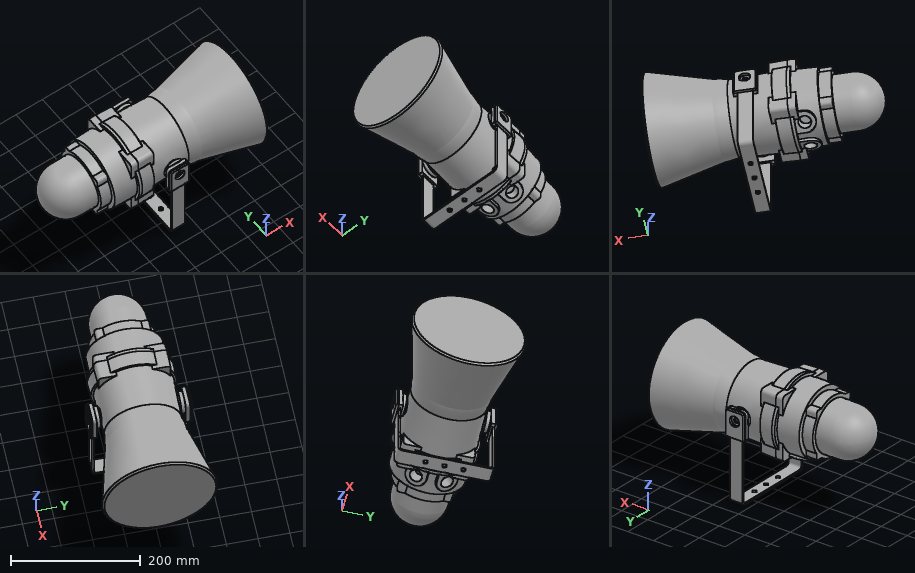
import cadquery as cq
import math


DRAFT = math.tan(math.radians(2))

BASE_X = 75.0
REAR_X = 95.0
REAR_LUG_X = 129.5
REAR_BAND_X = 137.0
SPLIT_X = 142.5
FRONT_BAND_X = 166.0
FRONT_LUG_X = 172.5
PIVOT_X = 205.5
HORN_X = 236.0
FLARE_X = 259.5
END_X = 366.0

DOME_R = 46.0
BASE_R = 52.7
EAR_HALF = 43.2
EAR_FILLET = 5.5

CASE_END_R = 61.0
BAND_R = 68.5
LUG_HALF = 58.0
LUG_FILLET = 7.5

ENTRY_X = 121.5
ENTRY_ANGLE = 22.5
ENTRY_REACH = 64.8
ENTRY_DEPTH = 22.0
ENTRY_D = 35.0
ENTRY_HOLE_D = 20.0

COLLAR_MID_X = 246.5
COLLAR_MID_R = 63.7
FLARE_R = 64.8
MOUTH_R = 90.8
MOUTH_CHAMFER = 3.0

BOSS_NECK_D = 29.0
BOSS_D = 35.0
BOSS_NECK_Y = 63.5
BLOCK_Y = 70.0
BOSS_START_Y = 36.5

CAP_Y = 76.5
PAD_FACE_Y = 81.0
PAD_WIDTH = 37.5
PAD_TOP_Z = 18.5
PAD_BOTTOM_Z = -29.5
PAD_FILLET = 6.5
CAP_CHAMFER = 2.2
CAP_HOLE_D = 18.0

STRAP_WIDTH = 24.0
STRAP_THICKNESS = 3.3
STRAP_BEND_R = 8.5
STRAP_TOP_Z = 12.8
STRAP_BOTTOM_Z = -145.0
PIVOT_HOLE_D = 8.5
MOUNT_HOLE_D = 7.0
MOUNT_PITCH = 30.0

SIDES = (-1, 1)


def turned(profile):
    """Revolve a closed profile in the XY plane about the X axis."""
    return profile.close().revolve(360, (0, 0, 0), (1, 0, 0))


def cone(x0, r0, x1, r1):
    return turned(cq.Workplane("XY").moveTo(x0, 0).lineTo(x0, r0).lineTo(x1, r1).lineTo(x1, 0))


def cylinder_x(x0, x1, radius):
    return cone(x0, radius, x1, radius)


def cylinder_y(y0, y1, diameter):
    """Cylinder on the pivot axis, between two Y positions."""
    plane = cq.Plane(origin=(PIVOT_X, y0, 0), xDir=(1, 0, 0), normal=(0, 1, 0))
    return cq.Workplane(plane).circle(diameter / 2).extrude(y1 - y0)


def make_dome():
    diagonal = DOME_R * math.sqrt(0.5)
    profile = (
        cq.Workplane("XY")
        .moveTo(0, 0)
        .threePointArc((DOME_R - diagonal, diagonal), (DOME_R, DOME_R))
        .lineTo(BASE_X, DOME_R)
        .lineTo(BASE_X, 0)
    )
    return turned(profile)


def beacon_base():
    """Round base with four square ears."""
    length = REAR_X - BASE_X
    ears = (
        cq.Workplane("YZ", origin=(BASE_X, 0, 0))
        .rect(2 * EAR_HALF, 2 * EAR_HALF)
        .extrude(length)
        .edges("|X")
        .fillet(EAR_FILLET)
    )
    return cylinder_x(BASE_X, REAR_X, BASE_R).union(ears)


def joint_flange(lug_end_x, band_end_x):
    """Square flange and round band, both drafted away from the joint."""
    direction = math.copysign(1, lug_end_x - SPLIT_X)
    plane = cq.Plane(origin=(SPLIT_X, 0, 0), xDir=(0, 1, 0), normal=(direction, 0, 0))
    square = cq.Sketch().rect(2 * LUG_HALF, 2 * LUG_HALF).vertices().fillet(LUG_FILLET)
    lugs = (
        cq.Workplane(plane)
        .placeSketch(square)
        .extrude(abs(lug_end_x - SPLIT_X), taper=math.degrees(math.atan(DRAFT)))
    )
    band = cone(SPLIT_X, BAND_R, band_end_x, BAND_R - DRAFT * abs(band_end_x - SPLIT_X))
    return lugs.union(band)


def entry_plane(side):
    """Plane on a cable entry face, its normal pointing away from the housing axis."""
    angle = math.radians(ENTRY_ANGLE) * side
    outward = cq.Vector(0, math.sin(angle), -math.cos(angle))
    origin = cq.Vector(ENTRY_X, 0, 0) + outward * ENTRY_REACH
    return cq.Plane(origin=origin, xDir=(1, 0, 0), normal=outward)


def add_cable_entry(case, side):
    """Round-ended pad running into the flange, with a hole on its round end."""
    plane = entry_plane(side)
    run = SPLIT_X - ENTRY_X
    pad = (
        cq.Workplane(plane)
        .circle(ENTRY_D / 2)
        .extrude(-ENTRY_DEPTH)
        .union(cq.Workplane(plane).center(run / 2, 0).rect(run, ENTRY_D).extrude(-ENTRY_DEPTH))
    )
    hole = cq.Workplane(plane).circle(ENTRY_HOLE_D / 2).extrude(-ENTRY_DEPTH)
    return case.union(pad).cut(hole)


def make_rear_case():
    split_r = CASE_END_R + DRAFT * (SPLIT_X - REAR_X)
    case = (
        cone(REAR_X, CASE_END_R, SPLIT_X, split_r)
        .union(beacon_base())
        .union(joint_flange(REAR_LUG_X, REAR_BAND_X))
    )
    for side in SIDES:
        case = add_cable_entry(case, side)
    return case


def make_front_case():
    split_r = CASE_END_R + DRAFT * (HORN_X - SPLIT_X)
    case = cone(SPLIT_X, split_r, HORN_X, CASE_END_R).union(joint_flange(FRONT_LUG_X, FRONT_BAND_X))
    for side in SIDES:
        neck = cylinder_y(side * BOSS_START_Y, side * BOSS_NECK_Y, BOSS_NECK_D)
        boss = cylinder_y(side * BOSS_NECK_Y, side * BLOCK_Y, BOSS_D)
        case = case.union(neck).union(boss)
    return case


def make_horn():
    """Curved collar, conical flare and chamfered mouth."""
    profile = (
        cq.Workplane("XY")
        .moveTo(HORN_X, 0)
        .lineTo(HORN_X, CASE_END_R)
        .threePointArc((COLLAR_MID_X, COLLAR_MID_R), (FLARE_X, FLARE_R))
        .lineTo(END_X - MOUTH_CHAMFER, MOUTH_R)
        .lineTo(END_X, MOUTH_R - MOUTH_CHAMFER)
        .lineTo(END_X, 0)
    )
    return turned(profile)


def make_bracket():
    """Bent strap with two pivot holes and three mounting holes."""
    height = STRAP_TOP_Z - STRAP_BOTTOM_Z
    middle_z = (STRAP_TOP_Z + STRAP_BOTTOM_Z) / 2
    outer = (
        cq.Workplane("XY")
        .box(STRAP_WIDTH, 2 * CAP_Y, height)
        .translate((PIVOT_X, 0, middle_z))
        .edges("|X and <Z")
        .fillet(STRAP_BEND_R)
    )
    inner = (
        cq.Workplane("XY")
        .box(STRAP_WIDTH, 2 * (CAP_Y - STRAP_THICKNESS), height)
        .translate((PIVOT_X, 0, middle_z + STRAP_THICKNESS))
        .edges("|X and <Z")
        .fillet(STRAP_BEND_R - STRAP_THICKNESS)
    )
    mount_holes = (
        cq.Workplane("XY", origin=(PIVOT_X, 0, STRAP_BOTTOM_Z))
        .rarray(3.5, MOUNT_PITCH, 1, 3)
        .circle(MOUNT_HOLE_D / 2)
        .extrude(STRAP_THICKNESS)
    )
    pivot_hole = cylinder_y(-CAP_Y, CAP_Y, PIVOT_HOLE_D)
    return outer.cut(inner).cut(mount_holes).cut(pivot_hole)


def pad(side, inner_y, outer_y):
    """Plate with two rounded top corners, on one side of the housing."""
    plane = cq.Plane(origin=(PIVOT_X, side * inner_y, 0), xDir=(side, 0, 0), normal=(0, side, 0))
    height = PAD_TOP_Z - PAD_BOTTOM_Z
    return (
        cq.Workplane(plane)
        .rect(PAD_WIDTH, height)
        .extrude(outer_y - inner_y)
        .translate((0, 0, (PAD_TOP_Z + PAD_BOTTOM_Z) / 2))
        .edges("|Y and >Z")
        .fillet(PAD_FILLET)
    )


def make_block(side):
    """Inner block, with a recess in its outer face that holds the bracket leg."""
    recess_height = STRAP_TOP_Z - PAD_BOTTOM_Z
    recess_y = CAP_Y - STRAP_THICKNESS / 2
    recess = (
        cq.Workplane("XY")
        .box(STRAP_WIDTH, STRAP_THICKNESS, recess_height)
        .translate((PIVOT_X, side * recess_y, (STRAP_TOP_Z + PAD_BOTTOM_Z) / 2))
    )
    return pad(side, BLOCK_Y, CAP_Y).cut(recess)


def make_cap(side):
    """Outer cap, chamfered round its face except along the bottom, with a screw opening."""
    outer_face = ">Y" if side > 0 else "<Y"
    cap = pad(side, CAP_Y, PAD_FACE_Y)
    rim = cap.faces(outer_face).edges("not <Z")
    return rim.chamfer(CAP_CHAMFER).cut(cylinder_y(side * CAP_Y, side * PAD_FACE_Y, CAP_HOLE_D))


dome = make_dome()
rear_case = make_rear_case()
front_case = make_front_case()
horn = make_horn()
bracket = make_bracket()
blocks = [make_block(side).val() for side in SIDES]
caps = [make_cap(side).val() for side in SIDES]

result = cq.Compound.makeCompound(
    [dome.val(), rear_case.val(), front_case.val(), horn.val(), bracket.val(), *blocks, *caps]
)